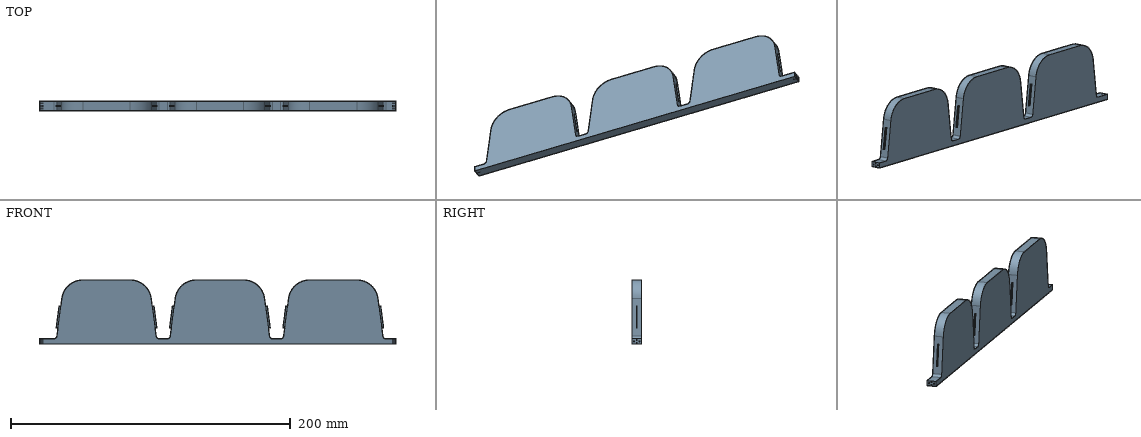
import cadquery as cq
import math

length = 255.0
thickness = 7.0
height = 46.0
strip_height = 3.8

tooth_count = 3
tooth_pitch = 81.0
tooth_base_width = 71.7
tooth_row_offset = 1.5
side_lean = 7.5
crown_radius = 15.3
root_radius = 2.0
root_margin = 0.3

rib_bottom = 11.5
rib_top = 27.0
rib_width = 0.6
rib_projection = 1.3
rib_embed = 0.8

pin_hole_diameter = 0.6
pin_hole_spacing_y = 3.8
pin_hole_spacing_z = 2.0
pin_hole_depth = 2.5

lean_slope = math.tan(math.radians(side_lean))


def half_width(z):
    """Half the tooth width at height z, ignoring the rounded corners."""
    return tooth_base_width / 2 - (z - strip_height) * lean_slope


def extrude_centred(profile, width):
    return profile.extrude(width / 2, both=True)


def tooth(center_x):
    bottom = half_width(0)
    top = half_width(height)
    points = [
        (center_x - bottom, 0),
        (center_x - top, height),
        (center_x + top, height),
        (center_x + bottom, 0),
    ]
    body = extrude_centred(cq.Workplane("XZ").polyline(points).close(), thickness)
    return body.edges("|Y and >Z").fillet(crown_radius)


def rib(center_x, side):
    inner_bottom = half_width(rib_bottom) - rib_embed
    outer_bottom = half_width(rib_bottom) + rib_projection
    inner_top = half_width(rib_top) - rib_embed
    outer_top = half_width(rib_top) + rib_projection
    points = [
        (center_x + side * inner_bottom, rib_bottom),
        (center_x + side * outer_bottom, rib_bottom),
        (center_x + side * outer_top, rib_top),
        (center_x + side * inner_top, rib_top),
    ]
    return extrude_centred(cq.Workplane("XZ").polyline(points).close(), rib_width)


def pin_hole(side, y, z):
    """One blind hole in the strip end on the given X side."""
    return cq.Solid.makeCylinder(
        pin_hole_diameter / 2,
        pin_hole_depth,
        cq.Vector(side * length / 2, y, z),
        cq.Vector(-side, 0, 0),
    )


tooth_centers = [
    tooth_row_offset + (i - (tooth_count - 1) / 2) * tooth_pitch
    for i in range(tooth_count)
]

result = cq.Workplane("XY").box(length, thickness, strip_height, centered=(True, True, False))
for center in tooth_centers:
    result = result.union(tooth(center))

root_half_span = length / 2 - root_margin
root_zone = cq.selectors.BoxSelector(
    (-root_half_span, -thickness, strip_height - root_margin),
    (root_half_span, thickness, strip_height + root_margin),
)
result = result.edges("|Y").edges(root_zone).fillet(root_radius)

for center in tooth_centers:
    for side in (-1, 1):
        result = result.union(rib(center, side))

strip_middle = strip_height / 2
pin_hole_places = [
    (-pin_hole_spacing_y / 2, strip_middle),
    (pin_hole_spacing_y / 2, strip_middle),
    (0, strip_middle - pin_hole_spacing_z / 2),
    (0, strip_middle + pin_hole_spacing_z / 2),
]
for side in (-1, 1):
    for y, z in pin_hole_places:
        result = result.cut(cq.Workplane(pin_hole(side, y, z)))